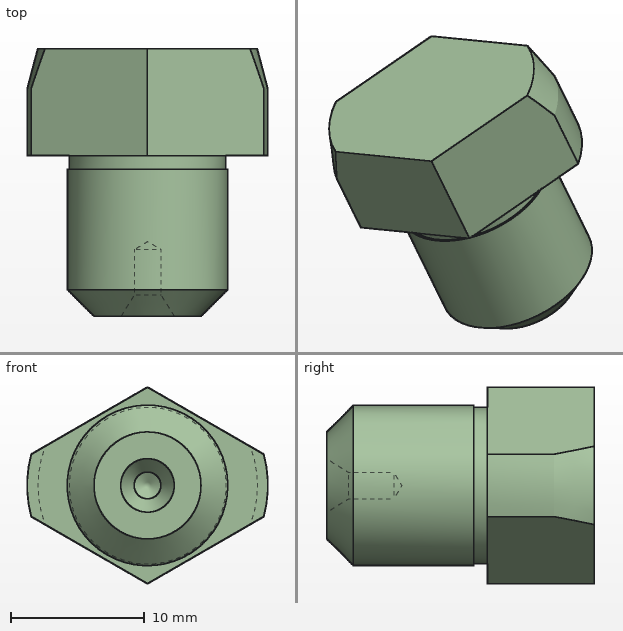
import cadquery as cq
import math

total_length = 20.0
tip_y = -total_length / 2
head_end_y = total_length / 2

head_length = 8.0
head_height = 14.7
head_radius = 9.0
head_side_angle = 30.0
head_taper_length = 3.0
head_taper_angle = 15.0

shank_radius = 6.0
neck_radius = 5.85
neck_length = 1.0
tip_chamfer = 2.0

countersink_radius = 2.0
hole_radius = 1.0
countersink_depth = 1.6
hole_depth = 5.0
drill_point_angle = 118.0

head_start_y = head_end_y - head_length
neck_start_y = head_start_y - neck_length


def revolve_about_y(profile):
    """Turn a closed (radius, y) outline about the Y axis."""
    return cq.Workplane("XY").polyline(profile).close().revolve(360, (0, 0), (0, 1))


def make_head():
    """Rhombic prism with its two side corners turned to a tapered cylinder."""
    half_height = head_height / 2
    half_width = half_height / math.tan(math.radians(head_side_angle))
    rhombus = (
        cq.Workplane("XZ", origin=(0, head_start_y, 0))
        .polyline([(half_width, 0), (0, half_height), (-half_width, 0), (0, -half_height)])
        .close()
        .extrude(-head_length)
    )
    end_radius = head_radius - head_taper_length * math.tan(math.radians(head_taper_angle))
    turned_blank = revolve_about_y([
        (0, head_start_y),
        (head_radius, head_start_y),
        (head_radius, head_end_y - head_taper_length),
        (end_radius, head_end_y),
        (0, head_end_y),
    ])
    return rhombus.intersect(turned_blank)


def make_shank():
    """Chamfered shank with a slightly thinner neck under the head."""
    return revolve_about_y([
        (0, tip_y),
        (shank_radius - tip_chamfer, tip_y),
        (shank_radius, tip_y + tip_chamfer),
        (shank_radius, neck_start_y),
        (neck_radius, neck_start_y),
        (neck_radius, head_start_y),
        (0, head_start_y),
    ])


def make_hole():
    """Countersunk blind hole with a conical drill point."""
    point_depth = hole_radius / math.tan(math.radians(drill_point_angle / 2))
    return revolve_about_y([
        (0, tip_y),
        (countersink_radius, tip_y),
        (hole_radius, tip_y + countersink_depth),
        (hole_radius, tip_y + hole_depth),
        (0, tip_y + hole_depth + point_depth),
    ])


result = make_head().union(make_shank()).cut(make_hole())